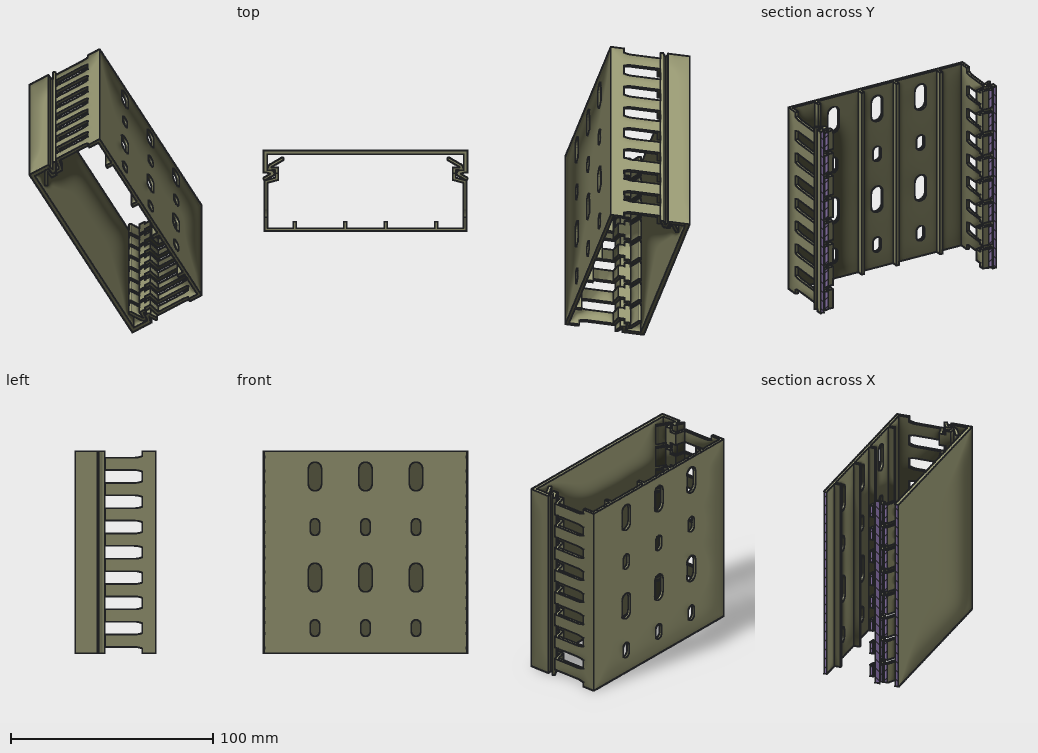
import cadquery as cq
import math

length = 100.0
height = 40.0
cover_width = 101.0
duct_width = 100.0
cover_edge = -cover_width / 2
duct_edge = -duct_width / 2
top_z = length / 2

duct_wall = 1.6
cover_wall = 2.0
inner_face = cover_edge + cover_wall
duct_inner = duct_edge + duct_wall

slot_pitch = 12.5
slot_width = 6.25
slot_floor = 6.8
slot_bottom_width = 4.8
slot_taper_height = 3.8
hook_gap = 2.25
hook_step_y = height - 11.3

snap_y = height - 9.8
limb_angle = math.radians(30)
limb_slope = math.tan(limb_angle)

ramp_outer_y = height - 14.85
ramp_inner_y = height - 16.05
ramp_slope = 0.26
web_inner = cover_edge + 7.45
web_outer = web_inner - duct_wall
hook_top_y = snap_y + 1.4
arm_root = cover_edge + 3.8
arm_tip = cover_edge + 9.7
arm_thickness = 1.6
arm_bend_radius = 3.0

lip_wall_end_y = height - 11.0
lip_inner_corner = cover_edge + 3.3
lip_inner_y = height - 11.6
lip_shoulder = cover_edge + 1.6
lip_thickness = 1.5
lip_round_start = cover_edge + 3.9

rib_positions = (-35.0, -10.0, 10.0, 35.0)
rib_height = 3.2
rib_width = 1.6
hole_columns = (-25.0, 0.0, 25.0)
large_hole = (14.2, 6.5)
small_hole = (8.2, 4.6)
large_hole_rows = (37.5, -12.5)
small_hole_rows = (12.5, -37.5)


def both_sides(half):
    """Join the -X half to its mirror image."""
    return half.union(half.mirror("YZ"))


def extruded(sketch):
    """Close an XY outline and extrude it over the full length."""
    return sketch.close().extrude(length)


def profile_plane():
    return cq.Workplane("XY", origin=(0, 0, -top_z))


def limb_offset(x, y, thickness, along):
    """Point 'along' a limb rising inward from (x, y), moved square to it by 'thickness'."""
    return (
        x + along * math.cos(limb_angle) - thickness * math.sin(limb_angle),
        y + along * math.sin(limb_angle) + thickness * math.cos(limb_angle),
    )


def duct_half_profile():
    arm_length = (arm_tip - arm_root) / math.cos(limb_angle)
    arm_end_low = limb_offset(arm_root, hook_top_y, 0, arm_length)
    arm_end_mid = limb_offset(arm_root, hook_top_y, arm_thickness / 2, arm_length + arm_thickness / 2)
    arm_end_high = limb_offset(arm_root, hook_top_y, arm_thickness, arm_length)
    turn = math.pi / 2 - limb_angle
    line_y = hook_top_y + arm_thickness / math.cos(limb_angle) + (inner_face - arm_root) * limb_slope
    tangent_length = arm_bend_radius * math.tan(turn / 2)
    bend_center = (inner_face + arm_bend_radius, line_y - tangent_length)
    bend_start = (
        bend_center[0] - arm_bend_radius * math.sin(limb_angle),
        bend_center[1] + arm_bend_radius * math.cos(limb_angle),
    )
    middle_angle = math.pi - turn / 2
    bend_middle = (
        bend_center[0] + arm_bend_radius * math.cos(middle_angle),
        bend_center[1] + arm_bend_radius * math.sin(middle_angle),
    )
    return extruded(
        profile_plane()
        .moveTo(0, 0)
        .lineTo(duct_edge, 0)
        .lineTo(duct_edge, ramp_outer_y)
        .lineTo(web_outer, ramp_outer_y + ramp_slope * (web_outer - duct_edge))
        .lineTo(web_outer, snap_y)
        .lineTo(inner_face, snap_y)
        .lineTo(inner_face, bend_center[1])
        .threePointArc(bend_middle, bend_start)
        .lineTo(*arm_end_high)
        .threePointArc(arm_end_mid, arm_end_low)
        .lineTo(arm_root, hook_top_y)
        .lineTo(web_inner, hook_top_y)
        .lineTo(web_inner, ramp_inner_y + ramp_slope * (web_inner - duct_inner))
        .lineTo(duct_inner, ramp_inner_y)
        .lineTo(duct_inner, duct_wall)
        .lineTo(0, duct_wall)
    )


def side_slot(z):
    """Slot across both side walls: tapered bottom, and a narrow gap between the hooks."""
    half = slot_width / 2
    half_bottom = slot_bottom_width / 2
    taper_top = slot_floor + slot_taper_height
    inset = half - half_bottom
    radius = (slot_taper_height**2 + inset**2) / (2 * inset)
    mid_y = taper_top - slot_taper_height / 2
    mid_half = half - radius + math.sqrt(radius**2 - (slot_taper_height / 2) ** 2)
    half_gap = hook_gap / 2
    return (
        cq.Workplane("YZ", origin=(0, 0, z))
        .moveTo(slot_floor, -half_bottom)
        .threePointArc((mid_y, -mid_half), (taper_top, -half))
        .lineTo(hook_step_y, -half)
        .lineTo(hook_step_y, -half_gap)
        .lineTo(height, -half_gap)
        .lineTo(height, half_gap)
        .lineTo(hook_step_y, half_gap)
        .lineTo(hook_step_y, half)
        .lineTo(taper_top, half)
        .threePointArc((mid_y, mid_half), (slot_floor, half_bottom))
        .close()
        .extrude(cover_width / 2, both=True)
    )


def mounting_holes(size, rows):
    """Upright round-ended slots through the base plate."""
    places = [(x, z) for x in hole_columns for z in rows]
    return cq.Workplane("XZ").pushPoints(places).slot2D(*size, angle=90).extrude(-duct_wall)


def make_duct():
    duct = both_sides(duct_half_profile())
    for index in range(round(length / slot_pitch) + 1):
        duct = duct.cut(side_slot(-top_z + index * slot_pitch))
    for x in rib_positions:
        rib = cq.Workplane("XY").box(rib_width, rib_height, length, centered=(True, False, True))
        duct = duct.union(rib.translate((x, duct_wall, 0)))
    duct = duct.cut(mounting_holes(large_hole, large_hole_rows))
    return duct.cut(mounting_holes(small_hole, small_hole_rows))


def cover_half_profile():
    tip_radius = lip_thickness / 2
    tip_run = lip_inner_corner - cover_edge - tip_radius * (1 - math.sin(limb_angle))
    lip_length = tip_run / math.cos(limb_angle)
    tip_high = limb_offset(lip_inner_corner, lip_inner_y, 0, -lip_length)
    tip_middle = limb_offset(lip_inner_corner, lip_inner_y, -tip_radius, -lip_length - tip_radius)
    tip_low = limb_offset(lip_inner_corner, lip_inner_y, -lip_thickness, -lip_length)
    round_end = limb_offset(lip_inner_corner, lip_inner_y, -lip_thickness, 0)
    nose_run = round_end[0] - lip_round_start
    nose_drop = snap_y - round_end[1]
    nose_radius = (nose_run**2 + nose_drop**2) / (2 * nose_drop)
    nose_middle = (lip_round_start + nose_radius, snap_y - nose_radius)
    return extruded(
        profile_plane()
        .moveTo(0, height)
        .lineTo(cover_edge, height)
        .lineTo(cover_edge, lip_wall_end_y)
        .lineTo(lip_shoulder, lip_wall_end_y)
        .lineTo(lip_inner_corner, lip_inner_y)
        .lineTo(*tip_high)
        .threePointArc(tip_middle, tip_low)
        .lineTo(*round_end)
        .threePointArc(nose_middle, (lip_round_start, snap_y))
        .lineTo(inner_face, snap_y)
        .lineTo(inner_face, height - cover_wall)
        .lineTo(0, height - cover_wall)
    )


def make_cover():
    return both_sides(cover_half_profile())


duct = make_duct()
cover = make_cover()
result = cq.Compound.makeCompound([duct.val(), cover.val()])